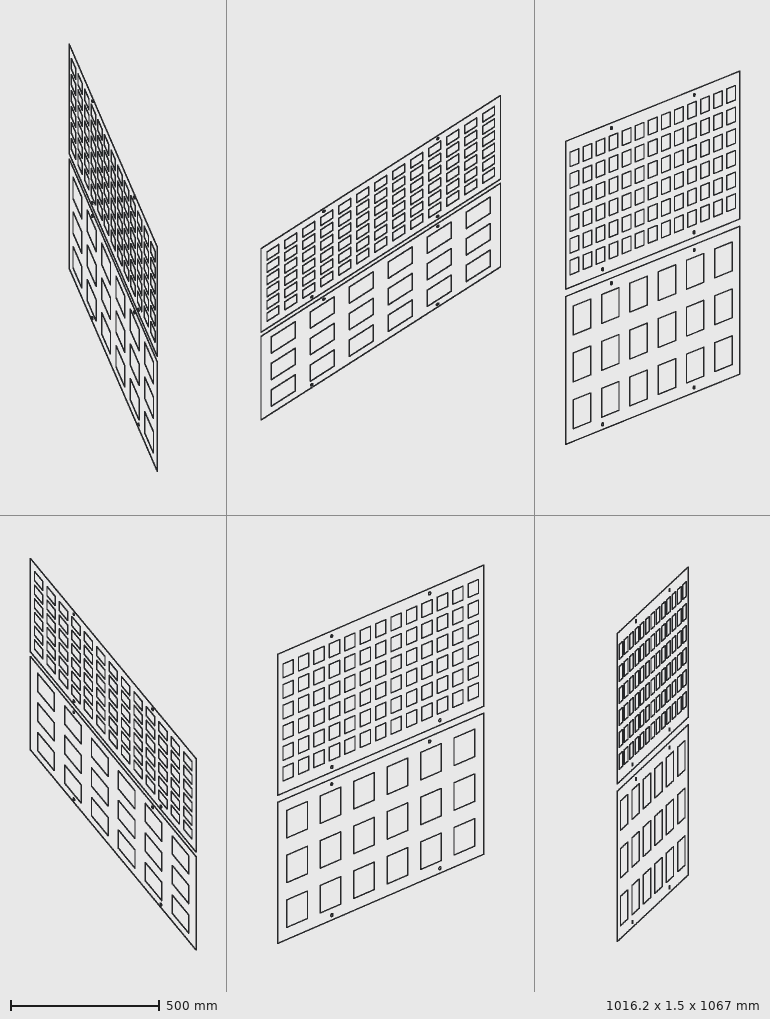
import cadquery as cq

TOTAL_HEIGHT = 1067.0
THICKNESS = 1.5

MODULE = TOTAL_HEIGHT / 42
PLATE_WIDTH = 40 * MODULE
PLATE_GAP = MODULE
PLATE_HEIGHT = (TOTAL_HEIGHT - PLATE_GAP) / 2
PLATE_CENTER_Z = (PLATE_HEIGHT + PLATE_GAP) / 2

FINE_COLUMNS = 13
FINE_ROWS = 6
FINE_WINDOW = 2 * MODULE
FINE_PITCH = 3 * MODULE

COARSE_COLUMNS = 6
COARSE_ROWS = 3
COARSE_WINDOW = 4 * MODULE
COARSE_PITCH = 6.5 * MODULE

HOLE_DIAMETER = 11.0
HOLE_INSET = 18.0
INNER_HOLE_X = 241.0
OUTER_HOLE_X = 292.0

SMALL_HOLE_DIAMETER = 9.5
SMALL_HOLE_INSET = 19.0
SMALL_HOLE_X = -242.0


def blank_plate():
    """Plain upright plate, centred on the origin."""
    return (
        cq.Workplane("XZ")
        .rect(PLATE_WIDTH, PLATE_HEIGHT)
        .extrude(THICKNESS / 2, both=True)
        .faces("<Y")
        .workplane()
    )


def drill_mounting_holes(plate):
    """Drill the three equal mounting holes and the smaller one."""
    hole_z = PLATE_HEIGHT / 2 - HOLE_INSET
    hole_centers = [
        (INNER_HOLE_X, hole_z),
        (-INNER_HOLE_X, -hole_z),
        (OUTER_HOLE_X, -hole_z),
    ]
    small_hole_center = (SMALL_HOLE_X, PLATE_HEIGHT / 2 - SMALL_HOLE_INSET)
    plate = plate.pushPoints(hole_centers).hole(HOLE_DIAMETER)
    return plate.pushPoints([small_hole_center]).hole(SMALL_HOLE_DIAMETER)


def window_plate(columns, rows, window, pitch, center_z):
    """Plate with a centred grid of square windows and four mounting holes."""
    plate = blank_plate()
    plate = plate.rarray(pitch, pitch, columns, rows).rect(window, window).cutThruAll()
    plate = drill_mounting_holes(plate)
    return plate.translate((0, 0, center_z))


fine_plate = window_plate(FINE_COLUMNS, FINE_ROWS, FINE_WINDOW, FINE_PITCH, PLATE_CENTER_Z)
coarse_plate = window_plate(
    COARSE_COLUMNS, COARSE_ROWS, COARSE_WINDOW, COARSE_PITCH, -PLATE_CENTER_Z
)

result = cq.Compound.makeCompound([fine_plate.val(), coarse_plate.val()])